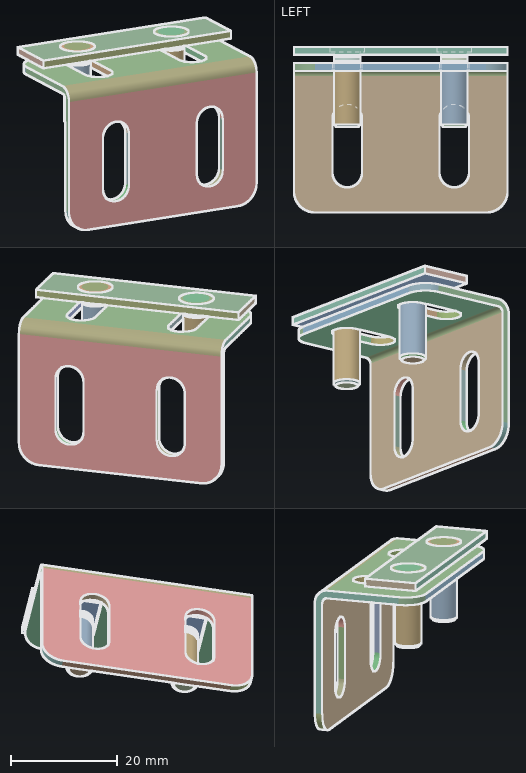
import cadquery as cq

length = 40.0
thickness = 1.5
flange_width = 20.65
flange_height = 28.0
bend_inner_radius = 1.0
bend_outer_radius = bend_inner_radius + thickness
corner_radius = 4.0

plate_width = 10.0
plate_inset = 0.65
plate_gap = 1.5

stud_diameter = 5.0
stud_neck_diameter = 4.66
stud_head_diameter = 6.5
stud_head_height = 1.0
stud_length = 15.0
stud_tip_diameter = 4.15
stud_tip_height = 0.5
stud_spacing = 20.0

collar_top = 1.0
collar_bottom = 0.4
collar_taper = (stud_diameter - stud_neck_diameter) / 2
collar_lower_taper = 0.27

slot_width = 5.5
adjust_travel = 8.0
wall_slot_travel = 10.0
wall_slot_top_drop = 10.5

stud_x = plate_inset + plate_width / 2
plate_bottom = plate_gap
plate_top = plate_bottom + thickness
stud_ys = [-stud_spacing / 2, stud_spacing / 2]


def make_bracket():
    body = (
        cq.Workplane("XZ")
        .lineTo(flange_width, 0)
        .lineTo(flange_width, -flange_height)
        .lineTo(flange_width - thickness, -flange_height)
        .lineTo(flange_width - thickness, -thickness)
        .lineTo(0, -thickness)
        .close()
        .extrude(length / 2, both=True)
    )
    body = body.edges("|Y").edges(">X and >Z").fillet(bend_outer_radius)
    inner_corner = cq.selectors.NearestToPointSelector((flange_width - thickness, 0, -thickness))
    body = body.edges("|Y").edges(inner_corner).fillet(bend_inner_radius)
    body = body.edges("|Z and <X").fillet(corner_radius)
    body = body.edges("|X and <Z").fillet(corner_radius)

    slot_x = stud_x + adjust_travel / 2
    wall_slot_z = -wall_slot_top_drop - wall_slot_travel / 2
    for y in stud_ys:
        flange_slot = (
            cq.Workplane("XY", origin=(slot_x, y, 0))
            .slot2D(adjust_travel + slot_width, slot_width)
            .extrude(-thickness)
        )
        wall_slot = (
            cq.Workplane("YZ", origin=(flange_width, y, wall_slot_z))
            .slot2D(wall_slot_travel + slot_width, slot_width, 90)
            .extrude(-thickness)
        )
        body = body.cut(flange_slot).cut(wall_slot)
    return body


def make_stud(y):
    shank_radius = stud_diameter / 2
    neck_radius = stud_neck_diameter / 2
    tip_radius = stud_tip_diameter / 2
    tip_z = plate_top - stud_length
    shank = (
        cq.Workplane("XZ", origin=(stud_x, y, 0))
        .moveTo(0, plate_top)
        .lineTo(shank_radius, plate_top)
        .lineTo(shank_radius, plate_bottom)
        .lineTo(neck_radius, plate_bottom - collar_taper)
        .lineTo(neck_radius, collar_top + collar_taper)
        .lineTo(shank_radius, collar_top)
        .lineTo(shank_radius, collar_bottom)
        .lineTo(neck_radius, collar_bottom - collar_lower_taper)
        .lineTo(neck_radius, 0)
        .lineTo(shank_radius, 0)
        .lineTo(shank_radius, tip_z + stud_tip_height)
        .lineTo(tip_radius, tip_z)
        .lineTo(0, tip_z)
        .close()
        .revolve(360, (0, 0, 0), (0, 1, 0))
    )
    head = (
        cq.Workplane("XY", origin=(stud_x, y, plate_top))
        .circle(stud_head_diameter / 2)
        .extrude(-stud_head_height)
    )
    return head.union(shank, clean=False)


def make_plate():
    plate = cq.Workplane("XY", origin=(stud_x, 0, plate_bottom)).rect(plate_width, length).extrude(thickness)
    for y in stud_ys:
        plate = plate.cut(make_stud(y))
    return plate


bracket = make_bracket()
plate = make_plate()
studs = [make_stud(y) for y in stud_ys]
result = cq.Compound.makeCompound([bracket.val(), plate.val(), *[stud.val() for stud in studs]])